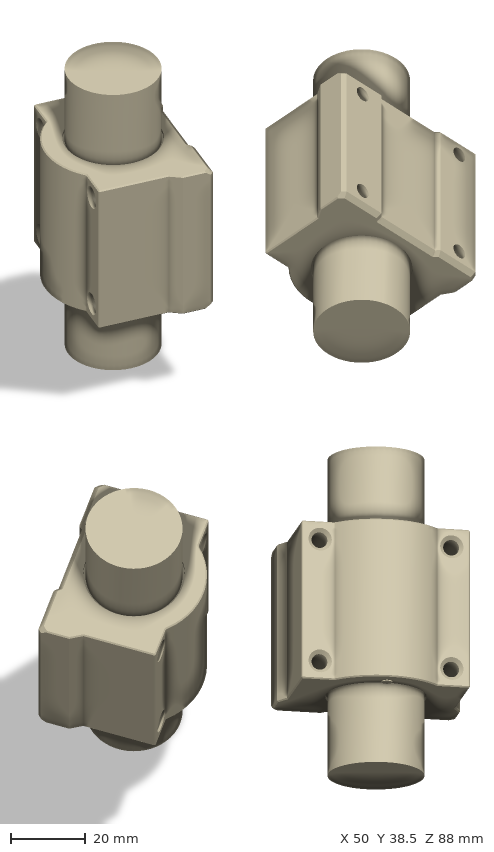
import cadquery as cq
import math

shaft_length = 88.0
shaft_diameter = 26.0

block_length = 44.0
block_width = 50.0
waist_width = 45.9
base_y = 19.0
relief_depth = 1.1
relief_width = 19.9
shoulder_y = 10.0
waist_y = 6.7
face_y = -13.55
barrel_radius = 19.5

base_corner_chamfer = 1.1
waist_corner_fillet = 0.5
base_end_chamfer = 1.3
end_chamfer = 0.35
barrel_root_fillet = 0.7

recess_diameter = 27.2
recess_depth = 0.9

hole_diameter = 4.3
countersink_diameter = 6.3
hole_spacing_x = 35.9
hole_spacing_z = 34.0

plug_diameter = 2.9
plug_height = 0.3
plug_y = -14.9

half_width = block_width / 2
half_waist = waist_width / 2
half_relief = relief_width / 2
half_length = block_length / 2
relief_y = base_y - relief_depth
base_zone_y = relief_y - 2 * base_end_chamfer
select_margin = 0.1
barrel_half_chord = math.sqrt(barrel_radius**2 - face_y**2)


def vertical_edge_at(x, y):
    """Selector for the edge that runs along Z through (x, y)."""
    near = select_margin
    return cq.selectors.BoxSelector((x - near, y - near, -near), (x + near, y + near, near))


def edges_between(low_y, high_y):
    """Selector for the edges whose centres lie between two Y levels."""
    return cq.selectors.BoxSelector(
        (-block_width, low_y, -block_length),
        (block_width, high_y, block_length),
    )


def make_block():
    """Extrude the block outline, round its front corners and break its end edges."""
    right_side = [
        (half_relief, relief_y),
        (half_relief + relief_depth, base_y),
        (half_width - base_corner_chamfer, base_y),
        (half_width, base_y - base_corner_chamfer),
        (half_width, shoulder_y),
        (half_waist, waist_y),
        (half_waist, face_y),
        (barrel_half_chord, face_y),
    ]
    left_side = [(-x, y) for x, y in reversed(right_side)]
    block = (
        cq.Workplane("XY", origin=(0, 0, -half_length))
        .polyline(right_side)
        .threePointArc((0, -barrel_radius), left_side[0])
        .polyline(left_side)
        .close()
        .extrude(block_length)
    )
    for side in (-1, 1):
        barrel_root = vertical_edge_at(side * barrel_half_chord, face_y)
        waist_corner = vertical_edge_at(side * half_waist, face_y)
        block = block.edges(barrel_root).fillet(barrel_root_fillet)
        block = block.edges(waist_corner).fillet(waist_corner_fillet)
    for end in ("<Z", ">Z"):
        block = block.faces(end).edges(edges_between(base_zone_y, block_width)).chamfer(base_end_chamfer)
        block = block.faces(end).edges(edges_between(-block_width, base_zone_y)).chamfer(end_chamfer)
    return block


def make_end_recesses():
    """Solids of the shallow round recesses in both end faces."""
    recess = cq.Workplane("XY").circle(recess_diameter / 2).extrude(recess_depth)
    upper = recess.translate((0, 0, half_length - recess_depth))
    lower = recess.translate((0, 0, -half_length))
    return upper.union(lower)


def make_mounting_hole(x, z):
    """Solid of one countersunk hole running along Y through the block."""
    hole_radius = hole_diameter / 2
    sink_radius = countersink_diameter / 2
    profile = [
        (0, face_y),
        (sink_radius, face_y),
        (hole_radius, face_y + sink_radius - hole_radius),
        (hole_radius, base_y),
        (0, base_y),
    ]
    hole = cq.Workplane("XY").polyline(profile).close().revolve(360, (0, 0, 0), (0, 1, 0))
    return hole.translate((x, 0, z))


def make_shaft():
    """Shaft passing through the block."""
    return cq.Workplane("XY").circle(shaft_diameter / 2).extrude(shaft_length / 2, both=True)


def make_plug():
    """Low round plug on the lower end face of the barrel."""
    return (
        cq.Workplane("XY", origin=(0, plug_y, -half_length))
        .circle(plug_diameter / 2)
        .extrude(-plug_height)
    )


block = make_block().cut(make_end_recesses())
for x in (-hole_spacing_x / 2, hole_spacing_x / 2):
    for z in (-hole_spacing_z / 2, hole_spacing_z / 2):
        block = block.cut(make_mounting_hole(x, z))
result = block.union(make_shaft()).union(make_plug())